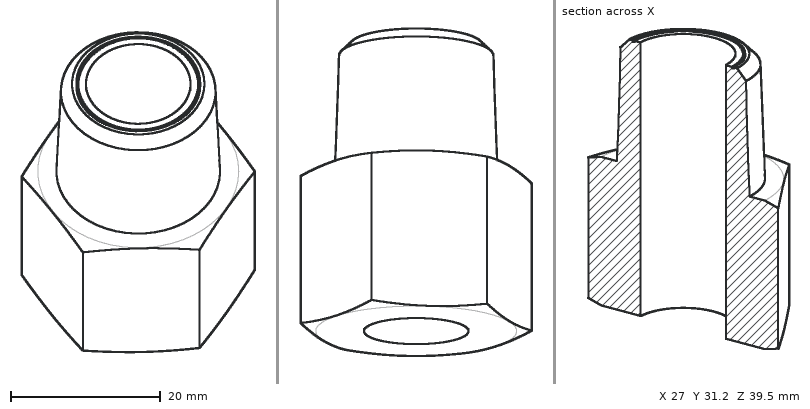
import cadquery as cq
import math

across_flats = 27.0
body_height = 21.5
face_circle_radius = 13.43
corner_bevel_height = 0.6

total_height = 39.5
spigot_base_radius = 10.95
spigot_tip_radius = 10.35
tip_chamfer_height = 1.5
tip_face_radius = 8.85

bore_radius = 7.0
groove_outer_radius = 8.3
groove_inner_radius = 8.0
groove_depth = 0.2

corner_radius = across_flats / math.sqrt(3)


def revolve_profile(points):
    """Revolve a closed (radius, height) outline about the Z axis."""
    return cq.Workplane("XZ").polyline(points).close().revolve(360, (0, 0), (0, 1))


def hex_body():
    """Hexagon with corners on the Y axis, bevelled at both ends by a turned envelope."""
    hexagon = (
        cq.Workplane("XY")
        .polygon(6, 2 * corner_radius)
        .extrude(body_height)
        .rotate((0, 0, 0), (0, 0, 1), 90)
    )
    envelope = revolve_profile([
        (0, 0),
        (face_circle_radius, 0),
        (corner_radius, corner_bevel_height),
        (corner_radius, body_height - corner_bevel_height),
        (face_circle_radius, body_height),
        (0, body_height),
    ])
    return hexagon.intersect(envelope)


def spigot():
    """Tapered round end with a chamfered tip."""
    return revolve_profile([
        (0, body_height),
        (spigot_base_radius, body_height),
        (spigot_tip_radius, total_height - tip_chamfer_height),
        (tip_face_radius, total_height),
        (0, total_height),
    ])


def bore():
    return cq.Workplane("XY").circle(bore_radius).extrude(total_height)


def ring_groove():
    return (
        cq.Workplane("XY", origin=(0, 0, total_height - groove_depth))
        .circle(groove_outer_radius)
        .circle(groove_inner_radius)
        .extrude(groove_depth)
    )


result = hex_body().union(spigot()).cut(bore()).cut(ring_groove())